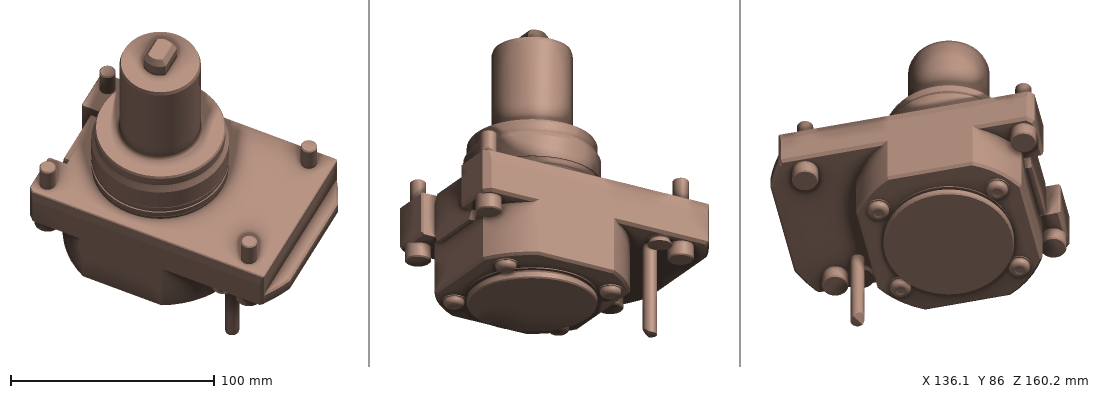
import cadquery as cq
import math


PLATE_WIDTH = 86.0
PLATE_HALF = PLATE_WIDTH / 2
PLATE_LEFT = -52.1
PLATE_RIGHT = 76.8
PLATE_BOTTOM = -22.5
LEFT_CORNER_CHAMFER = 3.2
RIGHT_CORNER_CHAMFER = 1.6
TAPER_DEPTH = 5.6
TAPER_INSET = 1.0
TOP_EDGE_CHAMFER = 0.5
BOTTOM_EDGE_CHAMFER = 1.5

LIP_RIGHT = 84.0
LIP_TOP = -14.1
LIP_RADIUS = 74.8
LIP_CENTRE_X = 14.3
LIP_INNER = 74.5
LIP_WIDTH = PLATE_WIDTH - 2 * RIGHT_CORNER_CHAMFER
LIP_TOP_CHAMFER = 1.0

NOTCH_WIDTH = 37.2
NOTCH_FLOOR_X = -42.0
NOTCH_CHAMFER = 0.8
PAD_FACE_X = -45.2
PAD_WIDTH = 35.9
PAD_HEIGHT = 25.6
PAD_RADIUS = 19.9
PAD_CENTRE_Z = -13.5

BODY_RADIUS = 48.0
BODY_LEFT = NOTCH_FLOOR_X
BODY_RIGHT = 41.3
BODY_BOTTOM = -50.5
BODY_CHAMFER = 1.3

TOWER_DIA = 40.0
TOWER_TOP = 80.1
TOWER_TOP_CHAMFER_HEIGHT = 2.0
TOWER_TOP_CHAMFER_INSET = 0.6
TOWER_BASE_FILLET = 2.0
COLLAR_DIA = 64.5
COLLAR_TOP = 30.0
COLLAR_BOTTOM = 24.0
COLLAR_CHAMFER_HEIGHT = 1.1
COLLAR_CHAMFER_INSET = 0.6
BARREL_DIA = 68.0
BARREL_TOP = 20.5
BARREL_BOTTOM = 9.1
RING_DIA = 67.5
RING_ROOT_DIA = 66.7
RING_BOTTOM = 5.1
LAND_BOTTOM = 2.2
RING_BEVEL_HEIGHT = 1.0

KEY_TOP = 89.9
KEY_RADIUS = 8.8
KEY_THICKNESS = 12.2
KEY_BEVEL_HEIGHT = 3.0
KEY_BEVEL_INSET = 2.1

CAP_DIA = 64.5
CAP_NECK_DIA = 60.0
CAP_RIM_BOTTOM = -51.0
CAP_FLANGE_TOP = -52.4
CAP_BOTTOM = -56.1
CAP_CHAMFER = 0.6

SCREW_XS = (-45.2, 64.9)
SCREW_Y = 34.0
SCREW_SHANK_DIA = 8.0
SCREW_TIP = 13.0
SCREW_TIP_CHAMFER = 0.6
SCREW_HEAD_DIA = 13.0
SCREW_HEAD_BOTTOM = -30.0
SCREW_HEAD_CHAMFER = 0.6

DOME_X = 30.0
DOME_Y = 25.0
DOME_FLANGE_DIA = 12.0
DOME_DIA = 10.5
DOME_FLANGE_HEIGHT = 0.5
DOME_SIDE_HEIGHT = 1.5
DOME_HEIGHT = 3.8
DOME_TIP_DIA = 3.2

CABLE_X = 52.0
CABLE_Y = -26.1
CABLE_DIA = 7.0
CABLE_BOTTOM = -70.3
CABLE_CUT_ANGLE = 43.0
CABLE_CUT_DIRECTION = 152.0
CABLE_CUT_OFFSET = 0.3

PLUG_X = CABLE_X
PLUG_Y = -35.5
PLUG_DIA = 12.0
PLUG_WAIST_DIA = 10.0
PLUG_WAIST_Z = -23.0
PLUG_FLANGE_TOP = -25.2
PLUG_BOTTOM = -25.6

OVERLAP = 1.6


def rod(diameter, bottom, top):
    """Cylinder on the Z axis between two heights."""
    return cq.Workplane("XY").workplane(offset=bottom).circle(diameter / 2).extrude(top - bottom)


def block(x_min, x_max, width, bottom, top):
    """Box centred on Y = 0."""
    return cq.Workplane("XY").box(
        x_max - x_min, width, top - bottom, centered=False
    ).translate((x_min, -width / 2, bottom))


def make_plate():
    plate = block(PLATE_LEFT, PLATE_RIGHT, PLATE_WIDTH, PLATE_BOTTOM, 0)
    plate = plate.edges("|Z and <X").chamfer(LEFT_CORNER_CHAMFER)
    plate = plate.edges("|Z and >X").chamfer(RIGHT_CORNER_CHAMFER)

    taper_section = (
        cq.Workplane("YZ")
        .polyline([
            (-PLATE_HALF, PLATE_BOTTOM),
            (PLATE_HALF, PLATE_BOTTOM),
            (PLATE_HALF, -TAPER_DEPTH),
            (PLATE_HALF - TAPER_INSET, 0),
            (TAPER_INSET - PLATE_HALF, 0),
            (-PLATE_HALF, -TAPER_DEPTH),
        ])
        .close()
        .extrude(PLATE_RIGHT - PLATE_LEFT)
        .translate((PLATE_LEFT, 0, 0))
    )
    plate = plate.intersect(taper_section)
    plate = plate.faces(">Z").edges().chamfer(TOP_EDGE_CHAMFER)
    plate = plate.faces("<Z").edges().chamfer(BOTTOM_EDGE_CHAMFER)

    notch = block(PLATE_LEFT - OVERLAP, NOTCH_FLOOR_X, NOTCH_WIDTH, PLATE_BOTTOM, 0)
    plate = plate.cut(notch)
    for side in (-1, 1):
        corner = (PLATE_LEFT, side * NOTCH_WIDTH / 2)
        bevel = (
            cq.Workplane("XY")
            .polyline([
                corner,
                (corner[0] + NOTCH_CHAMFER, corner[1]),
                (corner[0], corner[1] + side * NOTCH_CHAMFER),
            ])
            .close()
            .extrude(PLATE_BOTTOM)
        )
        plate = plate.cut(bevel)
    return plate


def make_lip():
    lip = rod(2 * LIP_RADIUS, PLATE_BOTTOM, LIP_TOP).translate((LIP_CENTRE_X, 0, 0))
    lip = lip.intersect(block(LIP_INNER, LIP_RIGHT, LIP_WIDTH, PLATE_BOTTOM, LIP_TOP))
    lip = lip.faces(">Z").edges("not <X").chamfer(LIP_TOP_CHAMFER)
    return lip.faces("<Z").edges("not <X").chamfer(BOTTOM_EDGE_CHAMFER)


def make_body():
    top = -TAPER_DEPTH
    body = rod(2 * BODY_RADIUS, BODY_BOTTOM, top)
    body = body.intersect(block(BODY_LEFT, BODY_RIGHT, PLATE_WIDTH, BODY_BOTTOM, top))
    return body.faces("<Z").edges().chamfer(BODY_CHAMFER)


def make_pad():
    depth = BODY_LEFT - PAD_FACE_X + OVERLAP
    plane = cq.Workplane("YZ", origin=(PAD_FACE_X, 0, PAD_CENTRE_Z))
    rectangle = plane.rect(PAD_WIDTH, PAD_HEIGHT).extrude(depth)
    return plane.circle(PAD_RADIUS).extrude(depth).intersect(rectangle)


def make_spindle():
    tower = TOWER_DIA / 2
    collar = COLLAR_DIA / 2
    barrel = BARREL_DIA / 2
    ring = RING_DIA / 2
    root = RING_ROOT_DIA / 2
    fillet_reach = TOWER_BASE_FILLET * (1 - math.sqrt(0.5))
    return (
        cq.Workplane("XZ")
        .moveTo(0, -OVERLAP)
        .lineTo(ring, -OVERLAP)
        .lineTo(ring, LAND_BOTTOM - RING_BEVEL_HEIGHT)
        .lineTo(root, LAND_BOTTOM)
        .lineTo(barrel, LAND_BOTTOM)
        .lineTo(barrel, RING_BOTTOM)
        .lineTo(root, RING_BOTTOM)
        .lineTo(ring, RING_BOTTOM + RING_BEVEL_HEIGHT)
        .lineTo(ring, BARREL_BOTTOM - RING_BEVEL_HEIGHT)
        .lineTo(root, BARREL_BOTTOM)
        .lineTo(barrel, BARREL_BOTTOM)
        .lineTo(barrel, BARREL_TOP)
        .lineTo(collar, COLLAR_BOTTOM)
        .lineTo(collar, COLLAR_TOP - COLLAR_CHAMFER_HEIGHT)
        .lineTo(collar - COLLAR_CHAMFER_INSET, COLLAR_TOP)
        .lineTo(tower + TOWER_BASE_FILLET, COLLAR_TOP)
        .threePointArc(
            (tower + fillet_reach, COLLAR_TOP + fillet_reach),
            (tower, COLLAR_TOP + TOWER_BASE_FILLET),
        )
        .lineTo(tower, TOWER_TOP - TOWER_TOP_CHAMFER_HEIGHT)
        .lineTo(tower - TOWER_TOP_CHAMFER_INSET, TOWER_TOP)
        .lineTo(0, TOWER_TOP)
        .close()
        .revolve(360, (0, 0, 0), (0, 1, 0))
    )


def make_key():
    bottom = TOWER_TOP - OVERLAP
    half = KEY_THICKNESS / 2
    bevel_start = KEY_TOP - KEY_BEVEL_HEIGHT
    round_key = rod(2 * KEY_RADIUS, bottom, KEY_TOP).faces(">Z").chamfer(KEY_BEVEL_HEIGHT, KEY_BEVEL_INSET)
    flat_key = (
        cq.Workplane("XZ")
        .polyline([
            (-half, bottom),
            (half, bottom),
            (half, bevel_start),
            (half - KEY_BEVEL_INSET, KEY_TOP),
            (KEY_BEVEL_INSET - half, KEY_TOP),
            (-half, bevel_start),
        ])
        .close()
        .extrude(KEY_RADIUS, both=True)
    )
    return round_key.intersect(flat_key)


def make_cap():
    rim = rod(CAP_DIA, CAP_RIM_BOTTOM, BODY_BOTTOM + OVERLAP)
    neck = rod(CAP_NECK_DIA, CAP_FLANGE_TOP, CAP_RIM_BOTTOM)
    flange = rod(CAP_DIA, CAP_BOTTOM, CAP_FLANGE_TOP).faces("|Z").edges().chamfer(CAP_CHAMFER)
    return rim.union(neck).union(flange)


def make_mounting_screw():
    shank = rod(SCREW_SHANK_DIA, PLATE_BOTTOM, SCREW_TIP).faces(">Z").chamfer(SCREW_TIP_CHAMFER)
    head = rod(SCREW_HEAD_DIA, SCREW_HEAD_BOTTOM, PLATE_BOTTOM + OVERLAP)
    head = head.faces("<Z").chamfer(SCREW_HEAD_CHAMFER)
    return shank.union(head)


def make_domed_screw():
    flange_bottom = BODY_BOTTOM - DOME_FLANGE_HEIGHT
    dome_start = BODY_BOTTOM - DOME_SIDE_HEIGHT
    dome_bottom = BODY_BOTTOM - DOME_HEIGHT
    side = DOME_DIA / 2
    tip = DOME_TIP_DIA / 2
    flange = rod(DOME_FLANGE_DIA, flange_bottom, BODY_BOTTOM + OVERLAP)
    dome = (
        cq.Workplane("XZ")
        .moveTo(0, BODY_BOTTOM)
        .lineTo(side, BODY_BOTTOM)
        .lineTo(side, dome_start)
        .tangentArcPoint((tip, dome_bottom), relative=False)
        .lineTo(0, dome_bottom)
        .close()
        .revolve(360, (0, 0, 0), (0, 1, 0))
    )
    return flange.union(dome)


def make_cable():
    cable = rod(CABLE_DIA, CABLE_BOTTOM, PLATE_BOTTOM + OVERLAP)
    cutter = (
        cq.Workplane("XY")
        .rect(4 * CABLE_DIA, 4 * CABLE_DIA)
        .extrude(-CABLE_DIA * 2)
        .rotate((0, 0, 0), (0, 1, 0), -CABLE_CUT_ANGLE)
        .rotate((0, 0, 0), (0, 0, 1), CABLE_CUT_DIRECTION)
        .translate((0, 0, CABLE_BOTTOM - CABLE_CUT_OFFSET))
    )
    return cable.cut(cutter)


def make_plug():
    top = PLATE_BOTTOM + OVERLAP
    outer = PLUG_DIA / 2
    waist = PLUG_WAIST_DIA / 2
    return (
        cq.Workplane("XZ")
        .polyline([
            (0, top),
            (outer, top),
            (outer, PLATE_BOTTOM),
            (waist, PLUG_WAIST_Z),
            (outer, PLUG_FLANGE_TOP),
            (outer, PLUG_BOTTOM),
            (0, PLUG_BOTTOM),
        ])
        .close()
        .revolve(360, (0, 0, 0), (0, 1, 0))
    )


result = make_plate().union(make_lip()).union(make_body()).union(make_pad())
result = result.union(make_spindle()).union(make_key()).union(make_cap())

for side in (-1, 1):
    for screw_x in SCREW_XS:
        result = result.union(make_mounting_screw().translate((screw_x, side * SCREW_Y, 0)))
    for dome_x in (-DOME_X, DOME_X):
        result = result.union(make_domed_screw().translate((dome_x, side * DOME_Y, 0)))

result = result.union(make_cable().translate((CABLE_X, CABLE_Y, 0)))
result = result.union(make_plug().translate((PLUG_X, PLUG_Y, 0)))